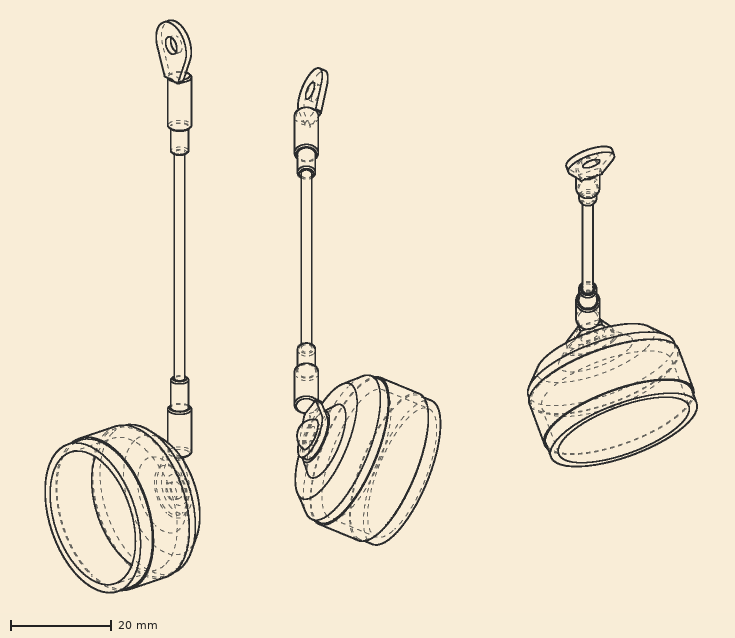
import cadquery as cq
import math

cap_radius = 15.9
rim_radius = 15.5
rim_length = 3.0
band_end = 12.0
shoulder_start = 13.8
shoulder_end = 17.4
shoulder_radius = 12.4
cone_base_radius = 7.9
pocket_radius = 13.8
pocket_depth = 10.5

plate_front = 19.8
plate_thickness = 1.3
plate_back = plate_front + plate_thickness
eye_radius = 4.9
eye_hole_radius = 1.8
plate_root_half_width = 2.3
cone_top_radius = cone_base_radius - (plate_front - shoulder_end)

head_radius = 3.2
head_tip = 23.6

overall_depth = 24.3
barrel_radius = 2.4
sleeve_radius = 1.8
cord_radius = 1.1
edge_chamfer = 0.4
axis_y = overall_depth - barrel_radius

overall_height = 119.2
upper_eye_z = overall_height - cap_radius - eye_radius
lower_eye_z = 0
upper_barrel_offset = 7.3
upper_barrel_length = 11.3
upper_sleeve_length = 5.6
lower_barrel_offset = 7.7
lower_barrel_length = 10.1
lower_sleeve_length = 6.4


def make_cap():
    """Stepped cap with a blind pocket, a conical boss and a domed rivet through the lug eye."""
    head_height = head_tip - plate_back
    dome_radius = (head_radius**2 + head_height**2) / (2 * head_height)
    dome_centre = head_tip - dome_radius
    half_angle = math.atan2(head_radius, plate_back - dome_centre) / 2
    dome_middle = (dome_radius * math.sin(half_angle), dome_centre + dome_radius * math.cos(half_angle))
    return (
        cq.Workplane("XY")
        .moveTo(0, pocket_depth)
        .lineTo(pocket_radius, pocket_depth)
        .lineTo(pocket_radius, 0)
        .lineTo(rim_radius, 0)
        .lineTo(rim_radius, rim_length)
        .lineTo(cap_radius, rim_length)
        .lineTo(cap_radius, band_end)
        .lineTo(rim_radius, band_end)
        .lineTo(rim_radius, shoulder_start)
        .lineTo(shoulder_radius, shoulder_end)
        .lineTo(cone_base_radius, shoulder_end)
        .lineTo(cone_top_radius, plate_front)
        .lineTo(eye_hole_radius, plate_front)
        .lineTo(eye_hole_radius, plate_back)
        .lineTo(head_radius, plate_back)
        .threePointArc(dome_middle, (0, head_tip))
        .close()
        .revolve(360, (0, 0, 0), (0, 1, 0))
    )


def vertical_cylinder(radius, bottom_z, length):
    return cq.Workplane("XY", origin=(0, axis_y, bottom_z)).circle(radius).extrude(length)


def make_plate(root_offset):
    """Teardrop plate with its eye at Z = 0, flanks tangent to the eye, tail set into the barrel."""
    root_distance = math.hypot(plate_root_half_width, root_offset)
    tangent_angle = math.atan2(root_offset, plate_root_half_width) - math.acos(eye_radius / root_distance)
    tangent_x = eye_radius * math.cos(tangent_angle)
    tangent_z = eye_radius * math.sin(tangent_angle)
    tail_end = root_offset + edge_chamfer
    return (
        cq.Workplane("XZ", origin=(0, plate_back, 0))
        .moveTo(tangent_x, tangent_z)
        .threePointArc((0, -eye_radius), (-tangent_x, tangent_z))
        .lineTo(-plate_root_half_width, root_offset)
        .lineTo(-plate_root_half_width, tail_end)
        .lineTo(plate_root_half_width, tail_end)
        .lineTo(plate_root_half_width, root_offset)
        .close()
        .moveTo(0, 0)
        .circle(eye_hole_radius)
        .extrude(plate_thickness)
    )


def make_terminal(barrel_offset, barrel_length, sleeve_length):
    """Lug plate, barrel and sleeve stacked upward from an eye at Z = 0."""
    barrel = vertical_cylinder(barrel_radius, barrel_offset, barrel_length)
    barrel = barrel.edges("%CIRCLE").chamfer(edge_chamfer)
    sleeve_bottom = barrel_offset + barrel_length
    sleeve = vertical_cylinder(sleeve_radius, sleeve_bottom, sleeve_length).faces(">Z").chamfer(edge_chamfer)
    return barrel.union(sleeve).union(make_plate(barrel_offset))


cap = make_cap()
lower_terminal = make_terminal(lower_barrel_offset, lower_barrel_length, lower_sleeve_length)
upper_terminal = (
    make_terminal(upper_barrel_offset, upper_barrel_length, upper_sleeve_length)
    .rotate((0, 0, 0), (0, 1, 0), 180)
    .translate((0, 0, upper_eye_z))
)

cord_bottom = lower_eye_z + lower_barrel_offset + lower_barrel_length + lower_sleeve_length
cord_top = upper_eye_z - upper_barrel_offset - upper_barrel_length - upper_sleeve_length
cord = vertical_cylinder(cord_radius, cord_bottom, cord_top - cord_bottom)

result = cq.Compound.makeCompound(
    [cap.val(), lower_terminal.val(), upper_terminal.val(), cord.val()]
)